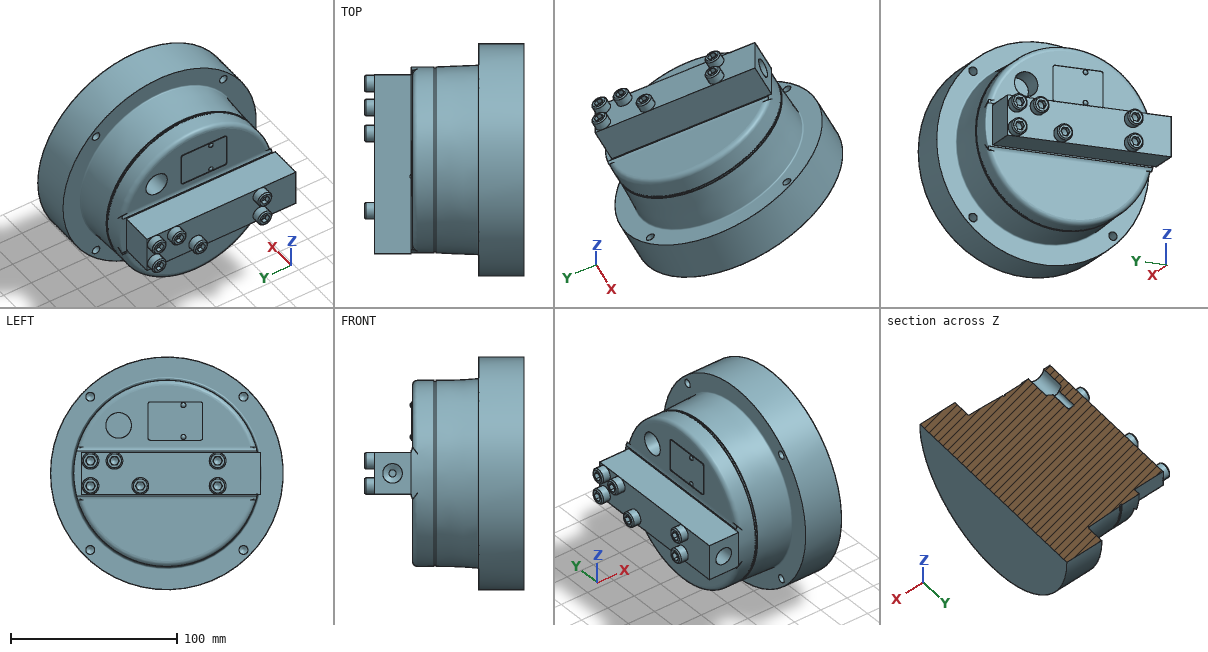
import cadquery as cq
import math


flange_radius = 70.0
flange_front = -27.3
flange_hole_spacing = 92.1
flange_hole_diameter = 5.3
flange_hole_depth = 11.2

housing_base_radius = 57.0
housing_fillet = 0.8
cover_radius = 56.0
groove_back = -52.9
groove_width = 1.4
groove_depth = 0.7

cover_front = -67.2
cover_fillet = 3.2
strip_height = 0.7
strip_front = cover_front - strip_height
strip_half_width = 13.6
strip_foot_half_width = 16.0
strip_rim_half_width = 11.8
strip_rim_fillet = 0.5

cover_hole_center = (29.0, 28.8)
cover_hole_diameter = 15.4
cover_hole_depth = 14.0

plate_y_min = -21.5
plate_width = 32.9
plate_z_min = 19.9
plate_height = 23.1
plate_thickness = 0.4
plate_corner_radius = 1.4
plate_front = cover_front - plate_thickness
rivet_y = -10.0
rivet_edge_gap = 2.0
rivet_radius = 1.5
rivet_height = 1.0

block_front = -90.0
block_y_min = -56.4
block_length = 107.8
block_height = 25.3

port_x = -79.1
port_diameter = 11.8
port_depth = 16.8
port_pilot_diameter = 4.3
port_pilot_depth = 33.6

screw_head_diameter = 10.1
screw_head_height = 6.0
screw_head_chamfer = 0.8
socket_across_flats = 5.0
socket_depth = 3.0
screw_front = block_front - screw_head_height
screw_row_z = 7.5
upper_screw_ys = (45.9, 31.5, -30.5)
lower_screw_ys = (45.9, 16.0, -30.5)
screw_centers = [(y, screw_row_z) for y in upper_screw_ys] + [(y, -screw_row_z) for y in lower_screw_ys]

drill_tip_half_angle = math.radians(59)


def drill_tip_length(diameter, tip_diameter=0.0):
    return (diameter - tip_diameter) / 2 / math.tan(drill_tip_half_angle)


def revolve_about_x(profile):
    return profile.close().revolve(360, (0, 0, 0), (1, 0, 0))


def drilled_hole(center, front, diameter, depth):
    """Blind hole running along +X from the given front plane, with a conical bottom."""
    bore = cq.Workplane("YZ", origin=(front, 0, 0)).center(*center).circle(diameter / 2).extrude(depth)
    tip_base = cq.Vector(front + depth, *center)
    tip = cq.Solid.makeCone(diameter / 2, 0, drill_tip_length(diameter), tip_base, cq.Vector(1, 0, 0))
    return bore.union(cq.Workplane(tip))


def make_body():
    """Flange, tapered housing, groove and round-edged cover as one turned shape."""
    groove_front = groove_back - groove_width
    groove_radius = cover_radius - groove_depth
    profile = (
        cq.Workplane("XY")
        .lineTo(0, flange_radius)
        .lineTo(flange_front, flange_radius)
        .lineTo(flange_front, housing_base_radius + housing_fillet)
        .radiusArc((flange_front - housing_fillet, housing_base_radius), housing_fillet)
        .lineTo(groove_back, cover_radius)
        .lineTo(groove_back, groove_radius)
        .lineTo(groove_front, groove_radius)
        .lineTo(groove_front, cover_radius)
        .lineTo(cover_front + cover_fillet, cover_radius)
        .radiusArc((cover_front, cover_radius - cover_fillet), -cover_fillet)
        .lineTo(cover_front, 0)
    )
    return revolve_about_x(profile)


def make_strip():
    """Raised strip across the cover, with hollow flanks, narrowing down at the rim of the cover."""
    strip_back = cover_front + cover_fillet
    flank_run = strip_foot_half_width - strip_half_width
    flank_radius = (flank_run**2 + strip_height**2) / (2 * strip_height)
    section = (
        cq.Workplane("XZ")
        .moveTo(strip_back, -strip_rim_half_width)
        .lineTo(cover_front, -strip_foot_half_width)
        .radiusArc((strip_front, -strip_half_width), -flank_radius)
        .lineTo(strip_front, strip_half_width)
        .radiusArc((cover_front, strip_foot_half_width), -flank_radius)
        .lineTo(strip_back, strip_rim_half_width)
        .close()
        .extrude(cover_radius, both=True)
    )
    outline = (
        cq.Workplane("XY")
        .moveTo(strip_back, 0)
        .lineTo(strip_back, cover_radius)
        .lineTo(strip_front + strip_rim_fillet, cover_radius)
        .radiusArc((strip_front, cover_radius - strip_rim_fillet), -strip_rim_fillet)
        .lineTo(strip_front, 0)
    )
    return section.intersect(revolve_about_x(outline))


def make_nameplate():
    plate = (
        cq.Workplane("YZ", origin=(plate_front, 0, 0))
        .center(plate_y_min + plate_width / 2, plate_z_min + plate_height / 2)
        .rect(plate_width, plate_height)
        .extrude(plate_thickness)
        .edges("|X")
        .fillet(plate_corner_radius)
    )
    dome_radius = (rivet_radius**2 + rivet_height**2) / (2 * rivet_height)
    rivet_top = plate_front - rivet_height
    rivet = revolve_about_x(
        cq.Workplane("XY")
        .moveTo(rivet_top, 0)
        .radiusArc((plate_front, rivet_radius), dome_radius)
        .lineTo(cover_front, rivet_radius)
        .lineTo(cover_front, 0)
    )
    plate_z_max = plate_z_min + plate_height
    for rivet_z in (plate_z_min + rivet_edge_gap, plate_z_max - rivet_edge_gap):
        plate = plate.union(rivet.translate((0, rivet_y, rivet_z)))
    return plate


def make_block():
    block_depth = strip_front - block_front
    block = cq.Workplane("XY").box(block_depth, block_length, block_height, centered=(False, False, True))
    return block.translate((block_front, block_y_min, 0)).cut(make_port())


def make_port():
    """Bore entering the block along +Y, narrowing through a cone to a blind pilot hole."""
    cone_end = port_depth + drill_tip_length(port_diameter, port_pilot_diameter)
    profile = (
        cq.Workplane("XY")
        .lineTo(port_diameter / 2, 0)
        .lineTo(port_diameter / 2, port_depth)
        .lineTo(port_pilot_diameter / 2, cone_end)
        .lineTo(port_pilot_diameter / 2, port_pilot_depth)
        .lineTo(0, port_pilot_depth)
        .close()
    )
    return profile.revolve(360, (0, 0, 0), (0, 1, 0)).translate((port_x, block_y_min, 0))


def make_screw_head():
    """Screw head on the X axis, with a hexagon socket that ends in a drill tip."""
    head = (
        cq.Workplane("YZ", origin=(screw_front, 0, 0))
        .circle(screw_head_diameter / 2)
        .extrude(screw_head_height)
        .faces("<X")
        .chamfer(screw_head_chamfer)
    )
    across_corners = socket_across_flats / math.cos(math.pi / 6)
    socket = cq.Workplane("YZ", origin=(screw_front, 0, 0)).polygon(6, across_corners).extrude(socket_depth)
    return head.cut(socket).cut(drilled_hole((0, 0), screw_front, socket_across_flats, socket_depth))


result = make_body().union(make_strip()).union(make_block()).union(make_nameplate())

screw_head = make_screw_head()
for screw_y, screw_z in screw_centers:
    result = result.union(screw_head.translate((0, screw_y, screw_z)))

cover_hole = (
    cq.Workplane("YZ", origin=(cover_front, 0, 0))
    .center(*cover_hole_center)
    .circle(cover_hole_diameter / 2)
    .extrude(cover_hole_depth)
)
result = result.cut(cover_hole)

for y_side in (-1, 1):
    for z_side in (-1, 1):
        hole_center = (y_side * flange_hole_spacing / 2, z_side * flange_hole_spacing / 2)
        result = result.cut(drilled_hole(hole_center, flange_front, flange_hole_diameter, flange_hole_depth))